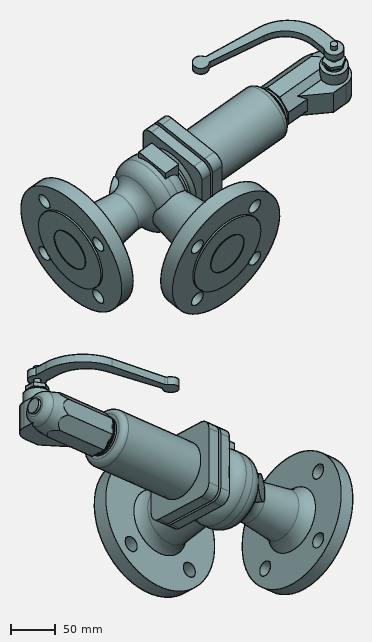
import cadquery as cq
import math


OVERALL_LENGTH = 411.5

FACE_DISTANCE = 125.0
FLANGE_DIAMETER = 165.0
RAISED_FACE_RADIUS = 51.0
RAISED_FACE_HEIGHT = 2.5
BOLT_SPACING = 88.0
BOLT_HOLE_DIAMETER = 18.0
INLET_FLANGE_THICKNESS = 17.5
OUTLET_FLANGE_THICKNESS = 19.5
BORE_RADIUS = 25.5
BORE_RECESS_DEPTH = 1.0

NECK_FLARE_LENGTH = 17.3
INLET_FLARE_RADIUS = 39.5
INLET_TAPER_RADIUS = 31.0
INLET_THROAT_RADIUS = 25.0
INLET_THROAT_Y = -43.0

OUTLET_FLARE_RADIUS = 40.0
OUTLET_TAPER_RADIUS = 33.5
OUTLET_ROOT_RADIUS = 25.5
OUTLET_ROOT_X = 29.0
OUTLET_FLARE_LENGTH = 15.5

BODY_RADIUS = 45.5
BODY_BAND_BOTTOM_Y = -4.5
BODY_BAND_TOP_Y = 5.5
BODY_SHOULDER_RADIUS = 35.5
BODY_SHOULDER_Y = 22.0
BODY_COLLAR_RADIUS = 34.0
BODY_COLLAR_BOTTOM_Y = 25.5
BODY_COLLAR_TOP_Y = 28.5
BODY_TOP_RADIUS = 38.5

SQUARE_SIDE = 96.0
SQUARE_CORNER_RADIUS = 13.0
BODY_PLATE_Y = 33.0
BODY_PLATE_THICKNESS = 13.0
GASKET_RADIUS = 37.5
GASKET_THICKNESS = 3.3
BONNET_PLATE_THICKNESS = 15.0

BONNET_RADIUS = 34.5
BONNET_TOP_Y = 181.0
BONNET_FILLET = 7.5
BONNET_NECK_RADIUS = 23.0
GROOVE_RADIUS = 21.5
GROOVE_WIDTH = 1.5
GROOVE_Y = 183.5
CAP_BOTTOM_Y = 188.0
CAP_WIDTH = 48.5
CAP_CONE_Y = 255.0
CAP_SIDES = 8
CAP_CORNER_RADIUS = CAP_WIDTH / 2 / math.cos(math.pi / CAP_SIDES)
DOME_BASE_Y = 275.0
DOME_BASE_RADIUS = 21.0
DOME_TOP_Y = 283.0
DOME_TOP_RADIUS = 12.0
CAP_STUD_RADIUS = 9.0
TOP_Y = OVERALL_LENGTH - FACE_DISTANCE

PIVOT_X = 22.0
PIVOT_Y = 260.5
BRACKET_RADIUS = 19.8
BRACKET_HALF_THICKNESS = 16.5
BRACKET_EDGE_BOTTOM_Y = 241.0
BRACKET_TIP_X = 17.5
BRACKET_TIP_Y = 208.2
BOSS_RADIUS = 16.0
BOSS_TOP_Z = 33.0
WASHER_RADIUS = 11.0
NUT_SIDES = 6
NUT_WIDTH = 23.5
NUT_BOTTOM_Z = 37.0
NUT_TOP_Z = 42.0
PIN_RADIUS = 4.0
PIN_TOP_Z = 68.0

LEVER_BOTTOM_Z = 51.5
LEVER_THICKNESS = 10.0
EYE_RADIUS = 11.0
ARM_TOP_Y = 269.0
ARM_BOTTOM_Y = 251.5
BEND_START_X = -2.5
OUTER_BEND_RADIUS = 56.0
INNER_BEND_RADIUS = 43.2
OUTER_HANDLE_TILT = math.radians(7)
INNER_HANDLE_TILT = math.radians(10.5)
KNOB_X = -64.5
KNOB_Y = 137.0
KNOB_RADIUS = 9.5
KNOB_FILLET = 3.3

PAD_WIDTH = 44.0
PAD_BOTTOM_Y = 1.5
PAD_TOP_Y = 22.0
PAD_TOP_Z = 49.5
DRAIN_RADIUS = 16.0
DRAIN_TILT = math.radians(34)
DRAIN_FACE_X = -32.5
DRAIN_FACE_Y = -29.5
DRAIN_LENGTH = 24.5


def disc_y(radius, bottom_y, height):
    """Cylinder along +Y on the main axis."""
    return cq.Workplane("XZ", origin=(0, bottom_y, 0)).circle(radius).extrude(-height)


def pillar_z(radius, bottom_z, top_z):
    """Cylinder along Z on the lever pivot."""
    return cq.Workplane("XY", origin=(PIVOT_X, PIVOT_Y, bottom_z)).circle(radius).extrude(top_z - bottom_z)


def pipe_flange(thickness):
    """Flange with its sealing face on Z = 0 and its body above it."""
    raised_face = cq.Workplane("XY").circle(RAISED_FACE_RADIUS).extrude(RAISED_FACE_HEIGHT)
    plate = (
        cq.Workplane("XY", origin=(0, 0, RAISED_FACE_HEIGHT))
        .circle(FLANGE_DIAMETER / 2)
        .extrude(thickness)
        .faces(">Z")
        .workplane()
        .rect(BOLT_SPACING, BOLT_SPACING, forConstruction=True)
        .vertices()
        .hole(BOLT_HOLE_DIAMETER)
    )
    recess = cq.Workplane("XY").circle(BORE_RADIUS).extrude(BORE_RECESS_DEPTH)
    return plate.union(raised_face).cut(recess)


def inlet_flange():
    flange = pipe_flange(INLET_FLANGE_THICKNESS)
    return flange.rotate((0, 0, 0), (1, 0, 0), -90).translate((0, -FACE_DISTANCE, 0))


def outlet_flange():
    flange = pipe_flange(OUTLET_FLANGE_THICKNESS)
    return flange.rotate((0, 0, 0), (0, 1, 0), -90).translate((FACE_DISTANCE, 0, 0))


def bulge_arc_middle(shoulder_y, band_y):
    """Middle of the arc that joins a shoulder tangentially to the straight band of the bulge."""
    rise = BODY_RADIUS - BODY_SHOULDER_RADIUS
    run = shoulder_y - band_y
    radius = (run**2 + rise**2) / (2 * rise)
    half_angle = math.asin(run / radius) / 2
    return (
        BODY_RADIUS - radius * (1 - math.cos(half_angle)),
        band_y + radius * math.sin(half_angle),
    )


def body():
    """Inlet neck and body bulge, turned about Y."""
    bottom_y = -FACE_DISTANCE + RAISED_FACE_HEIGHT + INLET_FLANGE_THICKNESS
    flare_top_y = bottom_y + NECK_FLARE_LENGTH
    throat = (INLET_THROAT_RADIUS, INLET_THROAT_Y)
    upper_arc_middle = bulge_arc_middle(BODY_SHOULDER_Y, BODY_BAND_TOP_Y)
    lower_arc_middle = bulge_arc_middle(-BODY_SHOULDER_Y, BODY_BAND_BOTTOM_Y)
    profile = (
        cq.Workplane("XY")
        .moveTo(0, BODY_PLATE_Y)
        .lineTo(BODY_TOP_RADIUS, BODY_PLATE_Y)
        .lineTo(BODY_COLLAR_RADIUS, BODY_COLLAR_TOP_Y)
        .lineTo(BODY_COLLAR_RADIUS, BODY_COLLAR_BOTTOM_Y)
        .lineTo(BODY_SHOULDER_RADIUS, BODY_SHOULDER_Y)
        .threePointArc(upper_arc_middle, (BODY_RADIUS, BODY_BAND_TOP_Y))
        .lineTo(BODY_RADIUS, BODY_BAND_BOTTOM_Y)
        .threePointArc(lower_arc_middle, (BODY_SHOULDER_RADIUS, -BODY_SHOULDER_Y))
        .tangentArcPoint(throat, relative=False)
        .lineTo(INLET_TAPER_RADIUS, flare_top_y)
        .tangentArcPoint((INLET_FLARE_RADIUS, bottom_y), relative=False)
        .lineTo(0, bottom_y)
        .close()
    )
    return profile.revolve(360, (0, 0, 0), (0, 1, 0))


def outlet_neck():
    end_x = FACE_DISTANCE - RAISED_FACE_HEIGHT - OUTLET_FLANGE_THICKNESS
    profile = (
        cq.Workplane("XY")
        .moveTo(OUTLET_ROOT_X, 0)
        .lineTo(OUTLET_ROOT_X, OUTLET_ROOT_RADIUS)
        .lineTo(end_x - OUTLET_FLARE_LENGTH, OUTLET_TAPER_RADIUS)
        .tangentArcPoint((end_x, OUTLET_FLARE_RADIUS), relative=False)
        .lineTo(end_x, 0)
        .close()
    )
    return profile.revolve(360, (0, 0, 0), (1, 0, 0))


def square_plate(bottom_y, thickness):
    plate = cq.Workplane("XZ", origin=(0, bottom_y, 0)).rect(SQUARE_SIDE, SQUARE_SIDE).extrude(-thickness)
    return plate.edges("|Y").fillet(SQUARE_CORNER_RADIUS)


def bonnet():
    """Two square plates with a gasket between them, and the spring housing with its grooved neck."""
    gasket_y = BODY_PLATE_Y + BODY_PLATE_THICKNESS
    bonnet_plate_y = gasket_y + GASKET_THICKNESS
    housing = disc_y(BONNET_RADIUS, bonnet_plate_y, BONNET_TOP_Y - bonnet_plate_y)
    housing = housing.faces(">Y").edges().fillet(BONNET_FILLET)
    lower_neck = disc_y(BONNET_NECK_RADIUS, BONNET_TOP_Y, GROOVE_Y - BONNET_TOP_Y)
    groove_core = disc_y(GROOVE_RADIUS, GROOVE_Y, GROOVE_WIDTH)
    upper_neck_y = GROOVE_Y + GROOVE_WIDTH
    upper_neck = disc_y(BONNET_NECK_RADIUS, upper_neck_y, CAP_BOTTOM_Y - upper_neck_y)
    return (
        square_plate(BODY_PLATE_Y, BODY_PLATE_THICKNESS)
        .union(disc_y(GASKET_RADIUS, gasket_y, GASKET_THICKNESS))
        .union(square_plate(bonnet_plate_y, BONNET_PLATE_THICKNESS))
        .union(housing)
        .union(lower_neck)
        .union(groove_core)
        .union(upper_neck)
    )


def cap():
    """Octagonal cap trimmed by a cone and a dome, with a short stud on top."""
    octagon = (
        cq.Workplane("XZ", origin=(0, CAP_BOTTOM_Y, 0))
        .polygon(CAP_SIDES, 2 * CAP_CORNER_RADIUS)
        .extrude(CAP_BOTTOM_Y - DOME_TOP_Y)
        .rotate((0, 0, 0), (0, 1, 0), 180 / CAP_SIDES)
    )
    envelope = (
        cq.Workplane("XY")
        .moveTo(0, CAP_BOTTOM_Y)
        .lineTo(CAP_CORNER_RADIUS, CAP_BOTTOM_Y)
        .lineTo(CAP_CORNER_RADIUS, CAP_CONE_Y)
        .lineTo(DOME_BASE_RADIUS, DOME_BASE_Y)
        .tangentArcPoint((DOME_TOP_RADIUS, DOME_TOP_Y), relative=False)
        .lineTo(0, DOME_TOP_Y)
        .close()
        .revolve(360, (0, 0, 0), (0, 1, 0))
    )
    stud = disc_y(CAP_STUD_RADIUS, DOME_TOP_Y, TOP_Y - DOME_TOP_Y)
    return octagon.intersect(envelope).union(stud)


def bracket():
    """Side plate on the cap, rounded about the pivot."""
    edge_x = PIVOT_X + BRACKET_RADIUS
    diagonal = BRACKET_RADIUS * math.sqrt(0.5)
    slope = (BRACKET_EDGE_BOTTOM_Y - BRACKET_TIP_Y) / (edge_x - BRACKET_TIP_X)
    return (
        cq.Workplane("XY", origin=(0, 0, -BRACKET_HALF_THICKNESS))
        .moveTo(0, PIVOT_Y + BRACKET_RADIUS)
        .lineTo(PIVOT_X, PIVOT_Y + BRACKET_RADIUS)
        .threePointArc((PIVOT_X + diagonal, PIVOT_Y + diagonal), (edge_x, PIVOT_Y))
        .lineTo(edge_x, BRACKET_EDGE_BOTTOM_Y)
        .lineTo(0, BRACKET_TIP_Y - slope * BRACKET_TIP_X)
        .close()
        .extrude(2 * BRACKET_HALF_THICKNESS)
    )


def pivot():
    """Boss, washer, hexagon nut and pin, stacked along Z."""
    nut = (
        cq.Workplane("XY", origin=(PIVOT_X, PIVOT_Y, NUT_BOTTOM_Z))
        .polygon(NUT_SIDES, NUT_WIDTH / math.cos(math.pi / NUT_SIDES))
        .extrude(NUT_TOP_Z - NUT_BOTTOM_Z)
    )
    return (
        pillar_z(BOSS_RADIUS, 0, BOSS_TOP_Z)
        .union(pillar_z(WASHER_RADIUS, BOSS_TOP_Z, NUT_BOTTOM_Z))
        .union(nut)
        .union(pillar_z(PIN_RADIUS, NUT_TOP_Z, PIN_TOP_Z))
    )


def bend_point(start_y, radius, angle):
    """Point on a lever bend that starts level at start_y and turns downwards by the given angle."""
    return BEND_START_X - radius * math.sin(angle), start_y - radius * (1 - math.cos(angle))


def straight_to_knob(start, tilt):
    """Where a handle edge that leaves its bend at the given tilt reaches the knob's centre height."""
    return start[0] - (start[1] - KNOB_Y) * math.tan(tilt), KNOB_Y


def lever():
    outer_turn = math.pi / 2 - OUTER_HANDLE_TILT
    inner_turn = math.pi / 2 - INNER_HANDLE_TILT
    outer_end = bend_point(ARM_TOP_Y, OUTER_BEND_RADIUS, outer_turn)
    inner_end = bend_point(ARM_BOTTOM_Y, INNER_BEND_RADIUS, inner_turn)
    plane = cq.Workplane("XY", origin=(0, 0, LEVER_BOTTOM_Z))
    arm = (
        plane.moveTo(PIVOT_X, ARM_TOP_Y)
        .lineTo(BEND_START_X, ARM_TOP_Y)
        .threePointArc(bend_point(ARM_TOP_Y, OUTER_BEND_RADIUS, outer_turn / 2), outer_end)
        .lineTo(*straight_to_knob(outer_end, OUTER_HANDLE_TILT))
        .lineTo(*straight_to_knob(inner_end, INNER_HANDLE_TILT))
        .lineTo(*inner_end)
        .threePointArc(
            bend_point(ARM_BOTTOM_Y, INNER_BEND_RADIUS, inner_turn / 2), (BEND_START_X, ARM_BOTTOM_Y)
        )
        .lineTo(PIVOT_X, ARM_BOTTOM_Y)
        .close()
        .extrude(LEVER_THICKNESS)
    )
    knob = plane.center(KNOB_X, KNOB_Y).circle(KNOB_RADIUS).extrude(LEVER_THICKNESS)
    eye = plane.center(PIVOT_X, PIVOT_Y).circle(EYE_RADIUS).extrude(LEVER_THICKNESS)
    knob_joint = cq.selectors.BoxSelector(
        (KNOB_X - KNOB_RADIUS, KNOB_Y + KNOB_FILLET, LEVER_BOTTOM_Z),
        (KNOB_X + KNOB_RADIUS, KNOB_Y + KNOB_RADIUS, LEVER_BOTTOM_Z + LEVER_THICKNESS),
    )
    return arm.union(knob).edges("|Z").edges(knob_joint).fillet(KNOB_FILLET).union(eye)


def name_plate_pad():
    return (
        cq.Workplane("XY")
        .center(0, (PAD_BOTTOM_Y + PAD_TOP_Y) / 2)
        .rect(PAD_WIDTH, PAD_TOP_Y - PAD_BOTTOM_Y)
        .extrude(PAD_TOP_Z)
    )


def drain_boss():
    """Round boss on the -X side, leaning towards the inlet."""
    inward = cq.Vector(math.cos(DRAIN_TILT), math.sin(DRAIN_TILT), 0)
    face = cq.Vector(DRAIN_FACE_X, DRAIN_FACE_Y, 0)
    return cq.Workplane(cq.Solid.makeCylinder(DRAIN_RADIUS, DRAIN_LENGTH, face, inward))


result = (
    body()
    .union(outlet_neck())
    .union(inlet_flange())
    .union(outlet_flange())
    .union(name_plate_pad())
    .union(drain_boss())
    .union(bonnet())
    .union(cap())
    .union(bracket())
    .union(pivot())
    .union(lever())
)